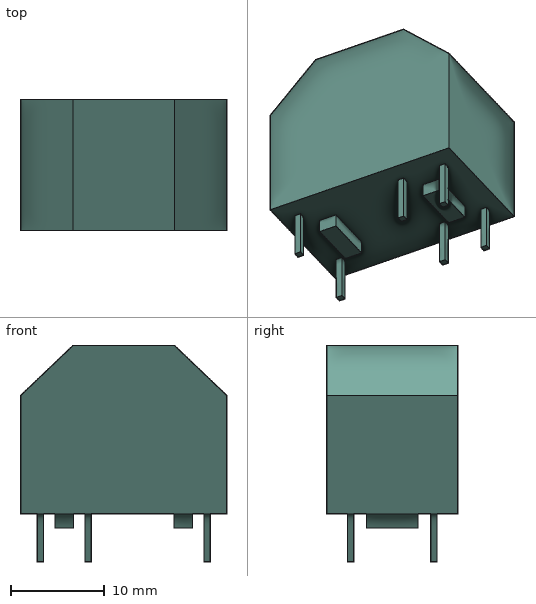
import cadquery as cq

body_length = 22.0
body_width = 14.0
body_height = 18.0
top_length = 10.8
slope_height = 5.35

grid = 1.27
pin_side = 0.7
pin_length = 5.1
pin_columns = [-7 * grid, -3 * grid, 7 * grid]
pin_row_offset = 3.5 * grid

foot_length = 2.0
foot_width = 5.5
foot_height = 1.5
foot_offset = 5 * grid


def make_body():
    """Six-sided profile, symmetric about X = 0, extruded along Y; its base is at Z = 0."""
    half_length = body_length / 2
    half_top = top_length / 2
    shoulder_height = body_height - slope_height
    profile = [
        (-half_length, 0),
        (half_length, 0),
        (half_length, shoulder_height),
        (half_top, body_height),
        (-half_top, body_height),
        (-half_length, shoulder_height),
    ]
    return cq.Workplane("XZ").polyline(profile).close().extrude(body_width / 2, both=True)


def add_pins(part):
    """Two rows of pins hanging from the base."""
    centers = [(x, y) for x in pin_columns for y in (-pin_row_offset, pin_row_offset)]
    pins = cq.Workplane("XY").pushPoints(centers).rect(pin_side, pin_side).extrude(-pin_length)
    return part.union(pins)


def add_feet(part):
    """A pair of rectangular feet, one on each side of X = 0."""
    centers = [(-foot_offset, 0), (foot_offset, 0)]
    feet = cq.Workplane("XY").pushPoints(centers).rect(foot_length, foot_width).extrude(-foot_height)
    return part.union(feet)


result = add_feet(add_pins(make_body()))